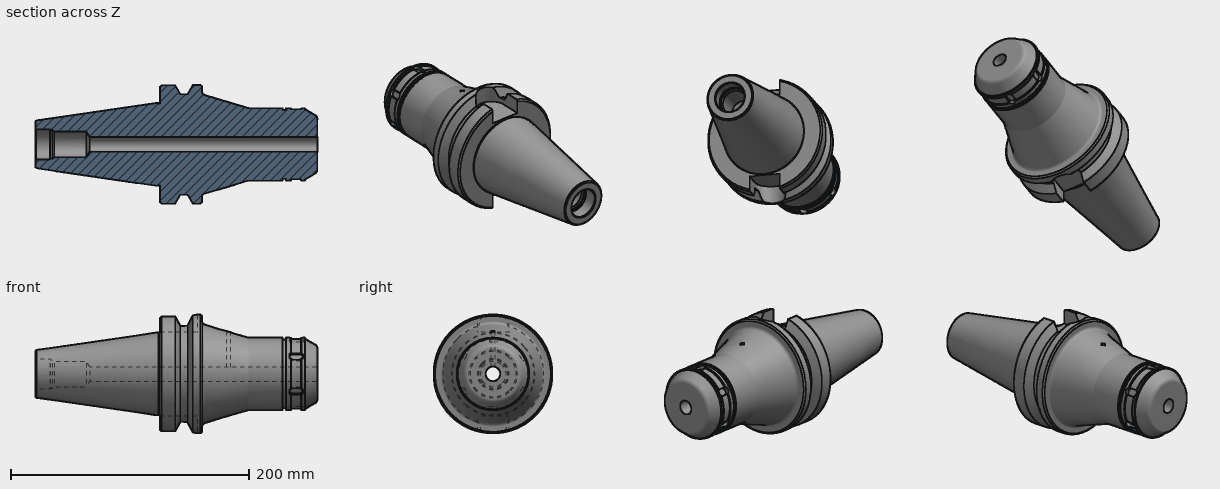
import cadquery as cq
import math

LENGTH = 236.8

TAPER_END_X = 101.8
TAPER_LARGE_R = 69.9 / 2
TAPER_RATE = 7 / 24
TAPER_SMALL_R = TAPER_LARGE_R - TAPER_END_X * TAPER_RATE / 2
TAPER_CHAMFER = 1.0
TAPER_LAND_END_X = 103.0
RELIEF_R = 69.0 / 2
RELIEF_START_X = TAPER_LAND_END_X + TAPER_LARGE_R - RELIEF_R

FLANGE_START_X = 104.5
FLANGE_END_X = 140.0
FLANGE_R = 100.0 / 2
FLANGE_CHAMFER = 1.5
GROOVE_R = 42.5
GROOVE_START_X = 121.7
GROOVE_END_X = 127.6
GROOVE_WALL_ANGLE = 30.0
GROOVE_WALL_RUN = (FLANGE_R - GROOVE_R) * math.tan(math.radians(GROOVE_WALL_ANGLE))

KEY_WIDTH = 26.3
KEY_FLOOR_Z = 35.3
KEY_END_X = 135.7

CONE_START_R = 42.2
CONE_BLEND_R = 2.8
BODY_R = 61.0 / 2
BODY_START_X = 178.8
BODY_END_X = 207.7
CONE_ANGLE = math.atan((CONE_START_R - BODY_R) / (BODY_START_X - FLANGE_END_X))

NUT_GAP_R = 58.0 / 2
NUT_START_X = 210.0
NUT_CHAMFER = 0.5
BAND_R = 29.5
BAND_START_X = 214.8
BAND_END_X = 222.8
NUT_RIM_END_X = 226.4
NOSE_START_R = 29.5
NOSE_END_R = 23.5
NOSE_FILLET = 4.3

NOTCH_COUNT = 6
NOTCH_WIDTH = 6.2
NOTCH_LENGTH = 11.8
NOTCH_CENTER_X = (BAND_START_X + BAND_END_X) / 2
NOTCH_FLOOR_R = 27.0

THROUGH_R = 12.0 / 2
PILOT_R = 25.0 / 2
PILOT_DEPTH = 11.8
PILOT_CHAMFER = 0.7
THREAD_R = 21.3 / 2
STEP_R = 24.0 / 2
STEP_LENGTH = 2.0
THREAD_END_X = 42.6
DRILL_TIP_ANGLE = 118.0

VENT_DIAMETER = 3.3
VENT_X = 161.7


def revolve_about_x(points):
    """Revolve a closed (x, radius) outline about the X axis."""
    return cq.Workplane("XY").polyline(points).close().revolve(360, (0, 0, 0), (1, 0, 0))


def make_shank_and_flange():
    return revolve_about_x([
        (0, 0),
        (0, TAPER_SMALL_R - TAPER_CHAMFER),
        (TAPER_CHAMFER, TAPER_SMALL_R + TAPER_CHAMFER * TAPER_RATE / 2),
        (TAPER_END_X, TAPER_LARGE_R),
        (TAPER_LAND_END_X, TAPER_LARGE_R),
        (RELIEF_START_X, RELIEF_R),
        (FLANGE_START_X, RELIEF_R),
        (FLANGE_START_X, FLANGE_R - FLANGE_CHAMFER),
        (FLANGE_START_X + FLANGE_CHAMFER, FLANGE_R),
        (GROOVE_START_X - GROOVE_WALL_RUN, FLANGE_R),
        (GROOVE_START_X, GROOVE_R),
        (GROOVE_END_X, GROOVE_R),
        (GROOVE_END_X + GROOVE_WALL_RUN, FLANGE_R),
        (FLANGE_END_X - FLANGE_CHAMFER, FLANGE_R),
        (FLANGE_END_X, FLANGE_R - FLANGE_CHAMFER),
        (FLANGE_END_X, 0),
    ])


def make_cone():
    """Conical body whose wide end is blended into the flange face."""
    blend_length = CONE_BLEND_R / math.tan((math.pi / 2 + CONE_ANGLE) / 2)
    blend_end = (
        FLANGE_END_X + blend_length * math.cos(CONE_ANGLE),
        CONE_START_R - blend_length * math.sin(CONE_ANGLE),
    )
    return (
        cq.Workplane("XY")
        .moveTo(FLANGE_END_X, 0)
        .lineTo(FLANGE_END_X, CONE_START_R + blend_length)
        .radiusArc(blend_end, -CONE_BLEND_R)
        .lineTo(BODY_START_X, BODY_R)
        .lineTo(BODY_START_X, 0)
        .close()
        .revolve(360, (0, 0, 0), (1, 0, 0))
    )


def make_front_body():
    """Cylindrical body, clamping nut and rounded nose."""
    turned = revolve_about_x([
        (BODY_START_X, 0),
        (BODY_START_X, BODY_R),
        (BODY_END_X - NUT_CHAMFER, BODY_R),
        (BODY_END_X, BODY_R - NUT_CHAMFER),
        (BODY_END_X, NUT_GAP_R),
        (NUT_START_X, NUT_GAP_R),
        (NUT_START_X, BODY_R - NUT_CHAMFER),
        (NUT_START_X + NUT_CHAMFER, BODY_R),
        (BAND_START_X - NUT_CHAMFER, BODY_R),
        (BAND_START_X, BODY_R - NUT_CHAMFER),
        (BAND_START_X, BAND_R),
        (BAND_END_X, BAND_R),
        (BAND_END_X, BODY_R - NUT_CHAMFER),
        (BAND_END_X + NUT_CHAMFER, BODY_R),
        (NUT_RIM_END_X - NUT_CHAMFER, BODY_R),
        (NUT_RIM_END_X, BODY_R - NUT_CHAMFER),
        (NUT_RIM_END_X, NOSE_START_R),
        (LENGTH, NOSE_END_R),
        (LENGTH, 0),
    ])
    return turned.faces(">X").edges().fillet(NOSE_FILLET)


def make_bore():
    tip_length = (THREAD_R - THROUGH_R) / math.tan(math.radians(DRILL_TIP_ANGLE / 2))
    step_start_x = PILOT_DEPTH + PILOT_R - STEP_R
    step_end_x = step_start_x + STEP_LENGTH
    return revolve_about_x([
        (0, 0),
        (0, PILOT_R + PILOT_CHAMFER),
        (PILOT_CHAMFER, PILOT_R),
        (PILOT_DEPTH, PILOT_R),
        (step_start_x, STEP_R),
        (step_end_x, STEP_R),
        (step_end_x + STEP_R - THREAD_R, THREAD_R),
        (THREAD_END_X, THREAD_R),
        (THREAD_END_X + tip_length, THROUGH_R),
        (LENGTH, THROUGH_R),
        (LENGTH, 0),
    ])


def make_key_slot():
    """Round-ended slot on the +Z side, open toward the taper."""
    round_center_x = KEY_END_X - KEY_WIDTH / 2
    slot_height = FLANGE_R - KEY_FLOOR_Z
    open_end_x = TAPER_END_X
    return (
        cq.Workplane("XY", origin=(0, 0, KEY_FLOOR_Z))
        .moveTo(open_end_x, -KEY_WIDTH / 2)
        .lineTo(round_center_x, -KEY_WIDTH / 2)
        .threePointArc((KEY_END_X, 0), (round_center_x, KEY_WIDTH / 2))
        .lineTo(open_end_x, KEY_WIDTH / 2)
        .close()
        .extrude(slot_height)
    )


def make_notch():
    """Round-ended spanner notch on the +Z side of the nut."""
    return (
        cq.Workplane("XY", origin=(NOTCH_CENTER_X, 0, NOTCH_FLOOR_R))
        .slot2D(NOTCH_LENGTH, NOTCH_WIDTH)
        .extrude(BODY_R - NOTCH_FLOOR_R)
    )


def make_vent():
    """Radial hole from the +Z side into the central bore."""
    return cq.Workplane("XY", origin=(VENT_X, 0, 0)).circle(VENT_DIAMETER / 2).extrude(CONE_START_R)


def rotate_about_axis(shape, angle):
    return shape.rotate((0, 0, 0), (1, 0, 0), angle)


result = make_shank_and_flange().union(make_cone()).union(make_front_body())
result = result.cut(make_bore()).cut(make_vent())

for side_angle in (0, 180):
    result = result.cut(rotate_about_axis(make_key_slot(), side_angle))

for index in range(NOTCH_COUNT):
    result = result.cut(rotate_about_axis(make_notch(), index * 360 / NOTCH_COUNT))